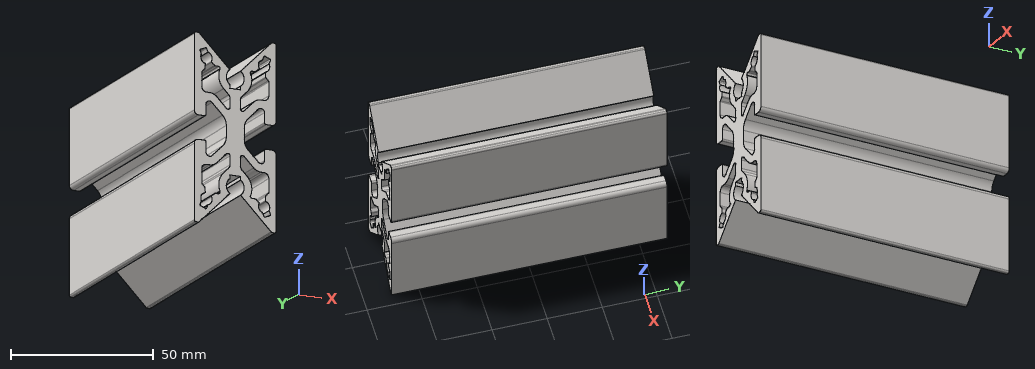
import cadquery as cq
import math

LENGTH = 100.0
HALF_WIDTH = 16.0
HALF_HEIGHT = 34.85

WEB_HALF = 3.5
WEB_FILLET = 5.1
ARM_OFFSET = 0.67
ARM_THICKNESS = 3.0
LIP_X = 11.38
LIP_Z = 4.5
LIP_OUTER_RADIUS = 1.6
LIP_INNER_RADIUS = 0.6
SLOT_ROOT_RADIUS = 1.35

RIM_RADIUS = 0.7
RIM_X = 14.2
GROOVE_OFFSET = HALF_HEIGHT - RIM_X
BORE_Z = 20.0
BORE_RADIUS = 3.45
BORE_WALL = 3.0
KEYWAY_HALF = 2.05
KEYWAY_FLOOR_Z = 15.9

CHAMBER_WALL_X = 13.07
CHAMBER_FLOOR_Z = 13.25
CHAMBER_SHELF_Z = 23.35
CHAMBER_CORNER_RADIUS = 1.9
ARM_BEND_RADIUS = 4.0
CHAMBER_TOE_RADIUS = 0.8
NECK_RADIUS = 1.8
SHELF_RADIUS = 0.7
PORT_FOOT_RADIUS = 0.5
BORE_WALL_END = math.radians(24)

PORT_X = 11.25
PORT_Z = 25.87
PORT_RADIUS = 2.2
PORT_TILT = 22.5
PORT_FOOT_X = 7.9
PORT_FLARE = 27.0
PORT_FLANK_START = 1.5
PORT_LIP_RADIUS = 0.25
PORT_LIP_ACROSS = 1.3
PORT_LIP_ALONG = -1.8
PORT_LIP_REACH = 0.5
NOTCH_HALF = 1.38
NOTCH_END = 3.48
NOTCH_RADIUS = 0.35


def extrude_full(sketch):
    return sketch.extrude(LENGTH / 2, both=True)


def rounded_prism(corners):
    """Full-length prism over a polygon of (x, z, corner radius) entries."""
    count = len(corners)
    outline = None
    for i in range(count):
        x, z, radius = corners[i]
        corner = cq.Vector(x, z)
        to_previous = (cq.Vector(*corners[i - 1][:2]) - corner).normalized()
        to_next = (cq.Vector(*corners[(i + 1) % count][:2]) - corner).normalized()
        half_angle = to_previous.getAngle(to_next) / 2
        setback = radius / math.tan(half_angle)
        start = corner + to_previous * setback
        if outline is None:
            outline = cq.Workplane("XZ").moveTo(start.x, start.y)
        else:
            outline = outline.lineTo(start.x, start.y)
        if radius > 0:
            end = corner + to_next * setback
            bisector = (to_previous + to_next).normalized()
            middle = corner + bisector * (radius / math.sin(half_angle) - radius)
            outline = outline.threePointArc((middle.x, middle.y), (end.x, end.y))
    return extrude_full(outline.close())


def port_point(across, along):
    """Point in the port's tilted frame: across toward the wall, along toward the rim."""
    tilt = math.radians(PORT_TILT)
    x = PORT_X + across * math.cos(tilt) + along * math.sin(tilt)
    z = PORT_Z - across * math.sin(tilt) + along * math.cos(tilt)
    return x, z


def quarter_body():
    return rounded_prism([
        (0, 0, 0),
        (WEB_HALF, 0, 0),
        (WEB_HALF, WEB_HALF + ARM_OFFSET, WEB_FILLET),
        (LIP_X, LIP_X + ARM_OFFSET, SLOT_ROOT_RADIUS),
        (LIP_X, LIP_Z, LIP_INNER_RADIUS),
        (HALF_WIDTH, LIP_Z, LIP_OUTER_RADIUS),
        (HALF_WIDTH, HALF_HEIGHT, RIM_RADIUS),
        (RIM_X, HALF_HEIGHT, RIM_RADIUS),
        (0, GROOVE_OFFSET, 0),
    ])


def bore_and_keyway():
    bore = extrude_full(cq.Workplane("XZ").center(0, BORE_Z).circle(BORE_RADIUS))
    keyway_depth = BORE_Z - KEYWAY_FLOOR_Z
    keyway = extrude_full(
        cq.Workplane("XZ").center(0, BORE_Z - keyway_depth / 2).rect(2 * KEYWAY_HALF, keyway_depth)
    )
    return bore.union(keyway)


def chamber():
    arm_top_offset = ARM_OFFSET + ARM_THICKNESS * math.sqrt(2)

    wall_radius = BORE_RADIUS + BORE_WALL
    neck_offset = BORE_Z - wall_radius * math.sqrt(2)
    neck_end = math.radians(-45)
    arc_middle = (neck_end + BORE_WALL_END) / 2
    arc_corner = wall_radius / math.cos((BORE_WALL_END - neck_end) / 2)
    arc_corner_x = arc_corner * math.cos(arc_middle)
    arc_corner_z = BORE_Z + arc_corner * math.sin(arc_middle)
    shelf_end_x = arc_corner_x - (CHAMBER_SHELF_Z - arc_corner_z) * math.tan(BORE_WALL_END)

    tilt = math.radians(PORT_TILT)
    foot_dx = PORT_FOOT_X - PORT_X
    foot_dz = CHAMBER_SHELF_Z - PORT_Z
    foot_across = foot_dx * math.cos(tilt) - foot_dz * math.sin(tilt)
    foot_along = foot_dx * math.sin(tilt) + foot_dz * math.cos(tilt)
    throat_half = -foot_across + (foot_along + PORT_FLANK_START) * math.tan(math.radians(PORT_FLARE))
    wall_foot_x, wall_foot_z = port_point(-foot_across, foot_along)
    wall_shelf_z = wall_foot_z - (CHAMBER_WALL_X - wall_foot_x)

    return rounded_prism([
        (CHAMBER_WALL_X, wall_shelf_z, PORT_FOOT_RADIUS),
        (CHAMBER_WALL_X, CHAMBER_FLOOR_Z, CHAMBER_CORNER_RADIUS),
        (CHAMBER_FLOOR_Z - arm_top_offset, CHAMBER_FLOOR_Z, ARM_BEND_RADIUS),
        (KEYWAY_HALF, KEYWAY_HALF + arm_top_offset, CHAMBER_TOE_RADIUS),
        (KEYWAY_HALF, KEYWAY_HALF + neck_offset, NECK_RADIUS),
        (arc_corner_x, arc_corner_z, wall_radius),
        (shelf_end_x, CHAMBER_SHELF_Z, SHELF_RADIUS),
        (PORT_FOOT_X, CHAMBER_SHELF_Z, PORT_FOOT_RADIUS),
        (*port_point(-throat_half, -PORT_FLANK_START), 0),
        (*port_point(throat_half, -PORT_FLANK_START), 0),
        (wall_foot_x, wall_foot_z, PORT_FOOT_RADIUS),
    ])


def screw_port():
    port = extrude_full(cq.Workplane("XZ").center(PORT_X, PORT_Z).circle(PORT_RADIUS))
    notch = rounded_prism([
        (*port_point(-NOTCH_HALF, 0), 0),
        (*port_point(NOTCH_HALF, 0), 0),
        (*port_point(NOTCH_HALF, NOTCH_END), NOTCH_RADIUS),
        (*port_point(-NOTCH_HALF, NOTCH_END), NOTCH_RADIUS),
    ])
    return port.union(notch)


def cavity():
    """Chamber and screw port in one, with the lips between them rounded."""
    hollow = chamber().union(screw_port())
    for across in (-PORT_LIP_ACROSS, PORT_LIP_ACROSS):
        x, z = port_point(across, PORT_LIP_ALONG)
        lip_box = cq.selectors.BoxSelector(
            (x - PORT_LIP_REACH, -LENGTH, z - PORT_LIP_REACH),
            (x + PORT_LIP_REACH, LENGTH, z + PORT_LIP_REACH),
        )
        hollow = hollow.edges("|Y").edges(lip_box).fillet(PORT_LIP_RADIUS)
    return hollow


quarter = quarter_body().cut(bore_and_keyway()).cut(cavity())
upper_half = quarter.union(quarter.mirror("YZ"))
result = upper_half.union(upper_half.mirror("XY")).clean()